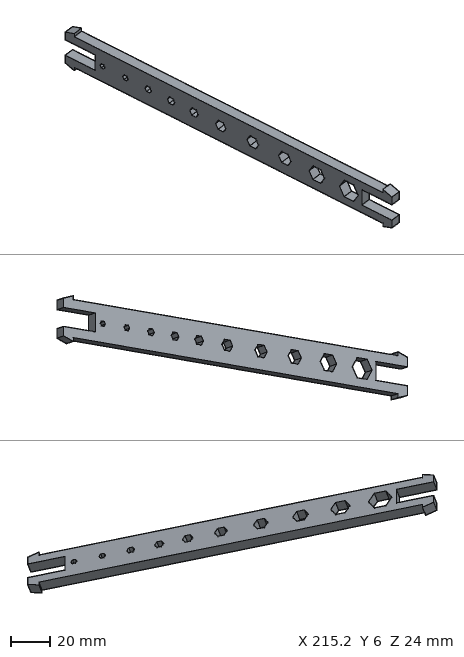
import cadquery as cq

length = 215.2
thickness = 6.0
overall_height = 24.0
body_height = 20.0

slot_width = 10.0
slot_depth = 19.8
barb_length = 6.0

first_hole_x = -83.0
small_pitch = 15.0
small_hole_diameters = [3.0, 3.5, 4.0, 4.7, 5.4]
first_large_hole_x = -5.2
large_pitch = 21.0
large_hole_diameters = [6.7, 7.5, 8.2, 10.1, 12.3]

half_length = length / 2
half_body = body_height / 2
half_height = overall_height / 2
barb_x = half_length - barb_length


def make_bar():
    """Flat bar with outward barbs at all four corners, centred on the origin."""
    upper_edge = [
        (-half_length, half_body),
        (-barb_x, half_height),
        (-barb_x, half_body),
        (barb_x, half_body),
        (barb_x, half_height),
        (half_length, half_body),
    ]
    lower_edge = [(-x, -z) for x, z in upper_edge]
    outline = cq.Workplane("XZ").polyline(upper_edge + lower_edge).close()
    return outline.extrude(thickness / 2, both=True)


def cut_end_slots(body):
    """Open a rectangular slot in each end to form the forks."""
    slot_centre = half_length - slot_depth / 2
    for x in (-slot_centre, slot_centre):
        slot = cq.Workplane("XY").box(slot_depth, thickness, slot_width)
        body = body.cut(slot.translate((x, 0, 0)))
    return body


def cut_hex_row(body, start_x, pitch, diameters):
    """Cut evenly spaced hexagonal holes with corners pointing along X."""
    for index, diameter in enumerate(diameters):
        hexagon = cq.Workplane("XZ").center(start_x + index * pitch, 0).polygon(6, diameter)
        body = body.cut(hexagon.extrude(thickness, both=True))
    return body


result = make_bar()
result = cut_end_slots(result)
result = cut_hex_row(result, first_hole_x, small_pitch, small_hole_diameters)
result = cut_hex_row(result, first_large_hole_x, large_pitch, large_hole_diameters)